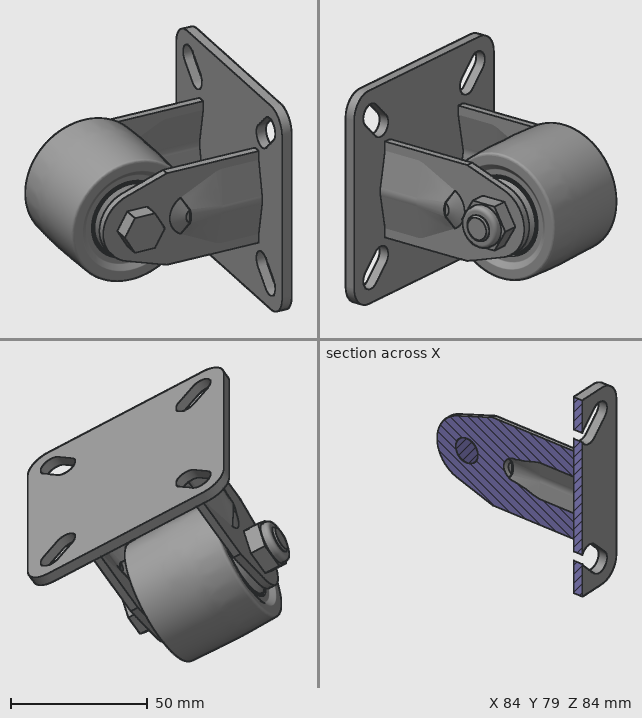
import cadquery as cq
import math


plate_side = 84.0
plate_thickness = 4.0
plate_corner_radius = 8.7
slot_radius = 4.45
slot_inner_offset = 26.0
slot_outer_offset = 32.0
axle_distance = 50.0

wheel_radius = 24.95
tread_edge_radius = 24.45
wheel_width = 38.0
wheel_edge_fillet = 1.0
recess_mouth_radius = 20.1
recess_floor_radius = 17.9
recess_depth = 1.7
recess_fillet = 0.5
wheel_half_width = wheel_width / 2
recess_floor_x = wheel_half_width - recess_depth

bolt_radius = 5.0
bolt_tip_chamfer = 0.75
bolt_tip_x = -33.6
bolt_head_flats = 14.3
nut_flats = 17.3
hex_thickness = 6.05
nut_collar_radius = 8.1
nut_collar_length = 3.1
nut_collar_fillet = 1.5

bearing_radius = 15.0
bearing_width = 9.0
bearing_seat_chamfer = 0.5
bearing_face_x = recess_floor_x - bearing_seat_chamfer

leg_inner_x = 20.5
leg_thickness = 3.0
leg_outer_x = leg_inner_x + leg_thickness
leg_half_height = 18.9
leg_straight_length = 37.8
leg_end_radius = 14.0

cap_large_radius = 14.45
cap_small_radius = 10.9
cap_rim_x = 17.5

rib_half_height = 15.3
rib_crest_half_width = 1.7
rib_shoulder_rise = 2.7
rib_crest_rise = 2.9
straight_base_end = 15.45
straight_crest_end = 16.5
taper_half_height = 14.7
taper_base_start = 17.6
taper_crest_start = 16.7
dome_half_height = 7.5
dome_crest_half_width = 2.85
dome_shoulder_rise = 2.1
dome_crest_rise = 2.4
dome_base_distance = 32.2
dome_crest_distance = 29.0
nose_radius = 8.5
nose_tip_distance = 36.6
nose_center_distance = nose_tip_distance - nose_radius


def cylinder_x(radius, start_x, end_x):
    """Cylinder on the X axis between two X positions."""
    return cq.Workplane("YZ", origin=(start_x, 0, 0)).circle(radius).extrude(end_x - start_x)


def hexagon_x(across_flats, start_x, end_x):
    """Hexagonal prism on the X axis, with its corners toward +Y and -Y."""
    across_corners = across_flats / math.cos(math.pi / 6)
    return cq.Workplane("YZ", origin=(start_x, 0, 0)).polygon(6, across_corners).extrude(end_x - start_x)


def revolved_x(profile):
    """Revolve a closed XY profile about the X axis."""
    return profile.revolve(360, (0, 0, 0), (1, 0, 0))


def make_plate():
    plate = (
        cq.Workplane("XZ", origin=(0, axle_distance, 0))
        .rect(plate_side, plate_side)
        .extrude(-plate_thickness)
        .edges("|Y")
        .fillet(plate_corner_radius)
    )
    slot_middle = (slot_inner_offset + slot_outer_offset) / 2
    slot_length = math.sqrt(2) * (slot_outer_offset - slot_inner_offset) + 2 * slot_radius
    for side_x in (-1, 1):
        for side_z in (-1, 1):
            slot = (
                cq.Workplane("XZ", origin=(0, axle_distance, 0))
                .center(side_x * slot_middle, side_z * slot_middle)
                .slot2D(slot_length, 2 * slot_radius, 45 * side_x * side_z)
                .extrude(-plate_thickness)
            )
            plate = plate.cut(slot)
    return plate


def rib_section(base_distance, crest_distance, half_height, crest_half_width, shoulder_rise, crest_rise):
    """Flat ridge outline on the leg's outer face, tilted from base_distance to crest_distance."""

    def point(rise, z):
        distance = base_distance + (crest_distance - base_distance) * rise / crest_rise
        return cq.Vector(leg_outer_x + rise, axle_distance - distance, z)

    base_low = point(0, -half_height)
    shoulder_low = point(shoulder_rise, -crest_half_width)
    crest = point(crest_rise, 0)
    shoulder_high = point(shoulder_rise, crest_half_width)
    base_high = point(0, half_height)
    return cq.Wire.assembleEdges(
        [
            cq.Edge.makeLine(base_low, shoulder_low),
            cq.Edge.makeThreePointArc(shoulder_low, crest, shoulder_high),
            cq.Edge.makeLine(shoulder_high, base_high),
            cq.Edge.makeLine(base_high, base_low),
        ]
    )


def make_rib():
    """Straight ridge, a narrow bend, a tapering part and a conical nose."""
    crest_shape = (rib_crest_half_width, rib_shoulder_rise, rib_crest_rise)
    dome_shape = (dome_crest_half_width, dome_shoulder_rise, dome_crest_rise)
    sections = [
        rib_section(0, 0, rib_half_height, *crest_shape),
        rib_section(straight_base_end, straight_crest_end, rib_half_height, *crest_shape),
        rib_section(taper_base_start, taper_crest_start, taper_half_height, *crest_shape),
        rib_section(dome_base_distance, dome_crest_distance, dome_half_height, *dome_shape),
    ]
    ridge = cq.Solid.makeLoft(sections, True)
    nose = cq.Solid.makeCone(
        nose_radius,
        dome_crest_half_width,
        dome_shoulder_rise,
        cq.Vector(leg_outer_x, axle_distance - nose_center_distance, 0),
        cq.Vector(1, 0, 0),
    )
    return cq.Workplane(ridge).union(cq.Workplane(nose))


def make_leg(side):
    """Pressed sheet leg on the +X side (side = 1) or the -X side (side = -1)."""
    corner_y = axle_distance - leg_straight_length
    corner_distance = math.hypot(corner_y, leg_half_height)
    tangent_angle = math.atan2(leg_half_height, corner_y) + math.acos(leg_end_radius / corner_distance)
    tangent_y = leg_end_radius * math.cos(tangent_angle)
    tangent_z = leg_end_radius * math.sin(tangent_angle)
    sheet = (
        cq.Workplane("YZ", origin=(leg_inner_x, 0, 0))
        .moveTo(axle_distance, leg_half_height)
        .lineTo(corner_y, leg_half_height)
        .lineTo(tangent_y, tangent_z)
        .threePointArc((-leg_end_radius, 0), (tangent_y, -tangent_z))
        .lineTo(corner_y, -leg_half_height)
        .lineTo(axle_distance, -leg_half_height)
        .close()
        .extrude(leg_thickness)
    )
    rib = make_rib()
    leg = sheet.union(rib).cut(rib.translate((-leg_thickness, 0, 0)))
    leg = leg.cut(cylinder_x(bolt_radius, leg_inner_x, leg_outer_x))
    return leg if side > 0 else leg.mirror("YZ")


def make_wheel():
    """Crowned wheel with a dished recess and a bearing seat in each side."""
    wheel = revolved_x(
        cq.Workplane("XY")
        .moveTo(-wheel_half_width, 0)
        .lineTo(-wheel_half_width, tread_edge_radius)
        .threePointArc((0, wheel_radius), (wheel_half_width, tread_edge_radius))
        .lineTo(wheel_half_width, 0)
        .close()
    )
    wheel = wheel.faces("<X or >X").edges().fillet(wheel_edge_fillet)
    recess = revolved_x(
        cq.Workplane("XY")
        .moveTo(recess_floor_x, 0)
        .lineTo(recess_floor_x, recess_floor_radius)
        .lineTo(wheel_half_width, recess_mouth_radius)
        .lineTo(wheel_half_width, 0)
        .close()
    )
    seat_mouth_radius = bearing_radius + bearing_seat_chamfer
    seat = revolved_x(
        cq.Workplane("XY")
        .moveTo(bearing_face_x - bearing_width, 0)
        .lineTo(bearing_face_x - bearing_width, bearing_radius)
        .lineTo(bearing_face_x, bearing_radius)
        .lineTo(recess_floor_x, seat_mouth_radius)
        .lineTo(recess_floor_x, 0)
        .close()
    )
    wheel = wheel.cut(recess).cut(recess.mirror("YZ"))
    recess_wall_edges = wheel.faces("%CONE").edges("%CIRCLE")
    wheel = recess_wall_edges.fillet(recess_fillet)
    wheel = wheel.cut(seat).cut(seat.mirror("YZ"))
    return wheel.cut(cylinder_x(bolt_radius, -wheel_half_width, wheel_half_width))


def make_bearing(side):
    """Plain ring filling the bearing seat on one side of the wheel."""
    ring = cylinder_x(bearing_radius, bearing_face_x - bearing_width, bearing_face_x)
    ring = ring.cut(cylinder_x(bolt_radius, bearing_face_x - bearing_width, bearing_face_x))
    return ring if side > 0 else ring.mirror("YZ")


def make_cap(side):
    """Conical cap with a short cylindrical rim, between bearing and leg."""
    cap = revolved_x(
        cq.Workplane("XY")
        .moveTo(bearing_face_x, bolt_radius)
        .lineTo(bearing_face_x, cap_large_radius)
        .lineTo(cap_rim_x, cap_large_radius)
        .lineTo(leg_inner_x, cap_small_radius)
        .lineTo(leg_inner_x, bolt_radius)
        .close()
    )
    return cap if side > 0 else cap.mirror("YZ")


def make_bolt():
    shank = cylinder_x(bolt_radius, bolt_tip_x, leg_outer_x)
    shank = shank.faces("<X").chamfer(bolt_tip_chamfer)
    return shank.union(hexagon_x(bolt_head_flats, leg_outer_x, leg_outer_x + hex_thickness))


def make_nut():
    """Hexagonal lock nut with a rounded collar on its outer side."""
    hex_end_x = -leg_outer_x - hex_thickness
    collar = cylinder_x(nut_collar_radius, hex_end_x - nut_collar_length, hex_end_x)
    collar = collar.faces("<X").edges().fillet(nut_collar_fillet)
    nut = hexagon_x(nut_flats, hex_end_x, -leg_outer_x).union(collar)
    return nut.cut(cylinder_x(bolt_radius, hex_end_x - nut_collar_length, -leg_outer_x))


plate = make_plate()
wheel = make_wheel()
bolt = make_bolt()
nut = make_nut()

legs = []
bearings = []
caps = []
for side in (-1, 1):
    legs.append(make_leg(side).val())
    bearings.append(make_bearing(side).val())
    caps.append(make_cap(side).val())

result = cq.Compound.makeCompound(
    [plate.val(), *legs, wheel.val(), *bearings, *caps, bolt.val(), nut.val()]
)